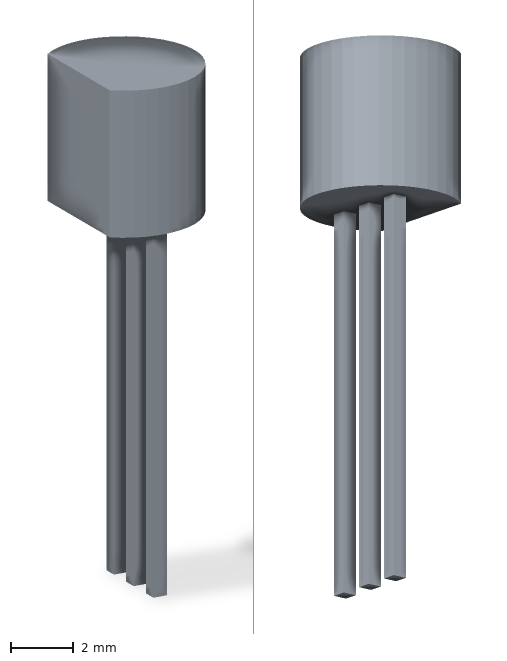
import cadquery as cq
import math

total_height = 17.7
body_width = 5.2
body_depth = 4.27

body_height = 5.0
side_count = 40
half_step = 180.0 / side_count
corner_diameter = body_width / math.cos(math.radians(half_step))

lead_length = total_height - body_height
lead_size = 0.5
lead_pitch = 1.27
lead_count = 3

flat_y = body_width / 2 - body_depth
body_middle_y = flat_y + body_depth / 2


def make_body():
    """Faceted round column, cut flat on its -Y side."""
    column = (
        cq.Workplane("XY")
        .workplane(offset=lead_length)
        .polygon(side_count, corner_diameter)
        .extrude(body_height)
        .rotate((0, 0, 0), (0, 0, 1), half_step)
    )
    kept_block = (
        cq.Workplane("XY")
        .box(body_width, body_depth, total_height, centered=(True, False, False))
        .translate((0, flat_y, 0))
    )
    return column.intersect(kept_block)


def make_leads():
    """Row of square leads below the body, midway through its depth."""
    return (
        cq.Workplane("XY")
        .center(0, body_middle_y)
        .rarray(lead_pitch, 0.18, lead_count, 1)
        .rect(lead_size, lead_size)
        .extrude(lead_length)
    )


result = make_body().union(make_leads())